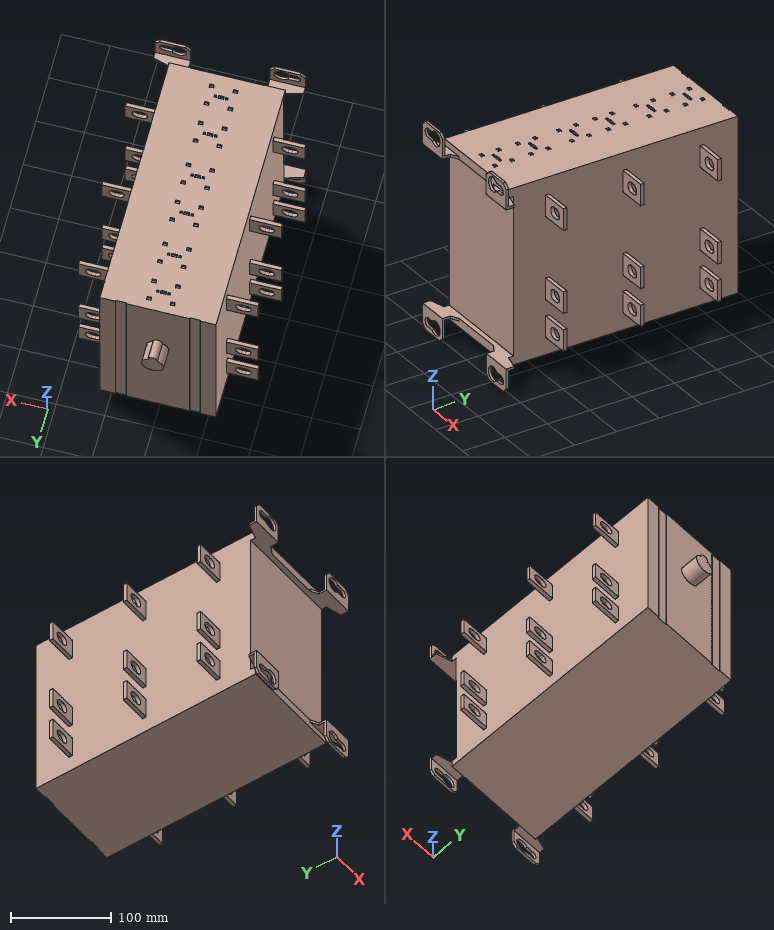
import cadquery as cq

total_width = 185.0
total_length = 305.5
total_height = 240.0

body_width = 119.8
body_height = 204.0
body_front = 14.5
body_back = 285.0
front_recess_height = 183.3
front_recess_depth = 5.8
back_groove_inner = 32.7
back_groove_outer = 43.7
back_groove_depth = 1.0

tab_thickness = 4.3
tab_height = 24.7
tab_middle_y = 151.2
tab_spacing_y = 91.0
tab_levels = (69.7, -26.0, -69.7)
tab_slot_x = 77.3
tab_slot_length = 16.0
tab_slot_width = 12.0

foot_thickness = 3.0
foot_inner = 40.5
foot_outer = 77.5
foot_chamfer = 5.2
web_slope_start = 9.5
web_inner_root = 32.0
keyhole_z = 109.0
keyhole_x = 53.2
keyhole_diameter = 16.2
keyhole_slot_x = 67.5
keyhole_slot_width = 9.8

shaft_z = 22.3
shaft_radius = 11.3
lobe_z = 33.0
lobe_radius = 5.0

pocket_depth = 3.0
corner_pocket_size = (4.3, 3.5)
corner_pocket_spacing = (24.5, 20.2)
centre_pocket_size = (5.5, 3.0)
side_pocket_size = 2.0
side_pocket_x = 5.8
pocket_group_spacing = 42.8
pocket_group_shift = -0.3

half_body_width = body_width / 2
half_recess_height = front_recess_height / 2
tab_rows = [tab_middle_y + step * tab_spacing_y for step in (-1, 0, 1)]


def box(x_range, y_range, z_range):
    """Box given by its lower and upper limits along each axis."""
    sizes = [high - low for low, high in (x_range, y_range, z_range)]
    corner = (x_range[0], y_range[0], z_range[0])
    return cq.Workplane("XY").box(*sizes, centered=False).translate(corner)


def make_body():
    """Block with a recessed front face and two shallow grooves up the back."""
    half_height = body_height / 2
    full_height = (-half_height, half_height)
    across = (-half_body_width, half_body_width)
    body = box(across, (body_front, body_back), full_height)
    recess_bottom = body_front + front_recess_depth
    recess_range = (-half_recess_height, half_recess_height)
    body = body.cut(box(across, (body_front, recess_bottom), recess_range))
    groove = box(
        (back_groove_inner, back_groove_outer),
        (body_back - back_groove_depth, body_back),
        full_height,
    )
    return body.cut(groove).cut(groove.mirror("YZ"))


def make_tab_bar(y, z):
    """Bar through the body whose two ends are the slotted terminal tabs."""
    bar = cq.Workplane("XY").box(total_width, tab_thickness, tab_height)
    slots = (
        cq.Workplane("XZ")
        .pushPoints([(-tab_slot_x, 0), (tab_slot_x, 0)])
        .slot2D(tab_slot_length, tab_slot_width)
        .extrude(tab_thickness, both=True)
    )
    return bar.cut(slots).translate((0, y, z))


def make_foot():
    """Upper right foot: a web running out of the body and an upright keyhole plate."""
    web = (
        cq.Workplane("XY", origin=(0, 0, half_recess_height))
        .moveTo(foot_inner, 0)
        .lineTo(foot_outer, 0)
        .lineTo(foot_outer, web_slope_start)
        .lineTo(half_body_width, body_front)
        .lineTo(web_inner_root, body_front)
        .lineTo(foot_inner, web_slope_start)
        .close()
        .extrude(foot_thickness)
    )
    plate = box(
        (foot_inner, foot_outer), (0, foot_thickness), (half_recess_height, total_height / 2)
    )
    plate = plate.faces(">Z").edges("|Y").chamfer(foot_chamfer)
    hole = cq.Workplane("XZ").center(keyhole_x, keyhole_z).circle(keyhole_diameter / 2)
    hole = hole.extrude(foot_thickness, both=True)
    slot_length = keyhole_slot_x - keyhole_x + keyhole_slot_width
    slot = (
        cq.Workplane("XZ")
        .center((keyhole_x + keyhole_slot_x) / 2, keyhole_z)
        .slot2D(slot_length, keyhole_slot_width)
        .extrude(foot_thickness, both=True)
    )
    return web.union(plate.cut(hole).cut(slot))


def make_shaft():
    """Round shaft with a smaller round lobe along its top."""
    back_plane = cq.Workplane("XZ", origin=(0, body_back, 0))
    shaft_length = total_length - body_back
    shaft = back_plane.center(0, shaft_z).circle(shaft_radius).extrude(-shaft_length)
    lobe = back_plane.center(0, lobe_z).circle(lobe_radius).extrude(-shaft_length)
    return shaft.union(lobe)


def make_pocket_group(y):
    """Four corner pockets around a row of three small ones."""
    plane = cq.Workplane("XY", origin=(0, y, body_height / 2))
    corner_grid = plane.rarray(*corner_pocket_spacing, 2, 2)
    corners = corner_grid.rect(*corner_pocket_size).extrude(-pocket_depth)
    centre = plane.rect(*centre_pocket_size).extrude(-pocket_depth)
    sides = (
        plane.pushPoints([(-side_pocket_x, 0), (side_pocket_x, 0)])
        .rect(side_pocket_size, side_pocket_size)
        .extrude(-pocket_depth)
    )
    return corners.add(centre).add(sides).combine()


result = make_body().union(make_shaft())

for row_y in tab_rows:
    for level in tab_levels:
        result = result.union(make_tab_bar(row_y, level))

upper_feet = make_foot().union(make_foot().mirror("YZ"))
result = result.union(upper_feet).union(upper_feet.mirror("XY"))

for row_y in tab_rows:
    for side in (-1, 1):
        group_y = row_y + pocket_group_shift + side * pocket_group_spacing / 2
        result = result.cut(make_pocket_group(group_y))